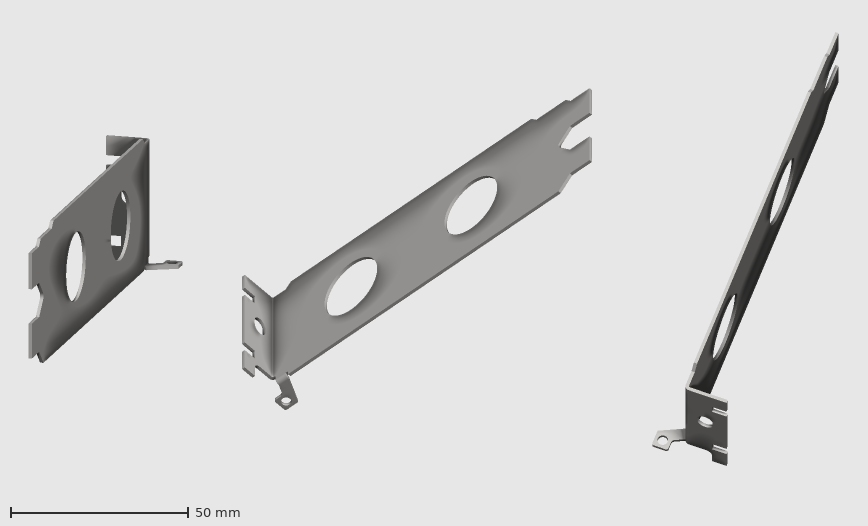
import cadquery as cq


sheet = 1.0
inner_bend = 0.4
outer_bend = inner_bend + sheet

total_length = 124.1
total_width = 21.5
total_height = 41.5
foot_reach = 8.7
flange_reach = total_width - foot_reach
ear_drop = 2.6

plate_height = total_height - ear_drop
plate_end = 121.2
shoulder_drop = 1.9
flange_shoulder_y = 113.4
tongue_shoulder_y = 22.1
tongue_step_y = 9.0
port_diameter = 20.0
port_z = plate_height / 2
port_places = (45.0, 90.6)

prong_length = 7.5
upper_prong_top = plate_height - 2 * shoulder_drop
fork_top = 24.6
fork_bottom = 14.5
fork_root_radius = 1.6
lower_prong_bottom = 4.3

flange_top = plate_height - shoulder_drop
flange_bottom = 3.0
ear_width = 4.3
ear_fillet = 2.0
notch_depth = 4.3
notch_spans = ((28.4, 31.4), (4.8, 8.1))
slot_length = 6.1
slot_width = 4.5
slot_x = -6.3
slot_z = 20.5

foot_near = 115.4
foot_far = 119.1
foot_rise = 4.0
foot_slope = foot_rise / (foot_reach - inner_bend)
eye_diameter = 3.0
head_width = 4.8
head_corner = 0.6
neck_fillet = 1.2

relief_width = 1.0
relief_corner = 0.6


def edge_at(x, y, z):
    """Select the edge whose middle is closest to the given point."""
    return cq.selectors.NearestToPointSelector((x, y, z))


def make_plate():
    """Long plate with stepped edges, a forked free end, two ports and bend reliefs."""
    fork_z = (fork_top + fork_bottom) / 2
    fork_root = prong_length + (fork_top - fork_bottom) / 2
    relief_near = foot_near - relief_width
    outline = [
        (prong_length + lower_prong_bottom, 0),
        (relief_near, 0),
        (relief_near, outer_bend),
        (foot_near, outer_bend),
        (foot_near, 0),
        (foot_far, 0),
        (foot_far, flange_bottom),
        (plate_end, flange_bottom),
        (plate_end, flange_top),
        (flange_shoulder_y + shoulder_drop, flange_top),
        (flange_shoulder_y, plate_height),
        (tongue_shoulder_y, plate_height),
        (tongue_shoulder_y - shoulder_drop, flange_top),
        (tongue_step_y, flange_top),
        (tongue_step_y - shoulder_drop, upper_prong_top),
        (0, upper_prong_top),
        (0, fork_top),
        (prong_length, fork_top),
        (fork_root, fork_z),
        (prong_length, fork_bottom),
        (0, fork_bottom),
        (0, lower_prong_bottom),
        (prong_length, lower_prong_bottom),
    ]
    plate = cq.Workplane("YZ").polyline(outline).close().extrude(-sheet)
    mid_x = -sheet / 2
    plate = plate.edges(edge_at(mid_x, fork_root, fork_z)).fillet(fork_root_radius)
    plate = plate.edges(edge_at(mid_x, relief_near, outer_bend)).fillet(relief_corner)
    plate = plate.edges(edge_at(mid_x, foot_far, flange_bottom)).fillet(relief_corner)
    port_centers = [(y, port_z) for y in port_places]
    ports = cq.Workplane("YZ").pushPoints(port_centers).circle(port_diameter / 2).extrude(-sheet)
    return plate.cut(ports)


def make_flange():
    """End flange with two edge notches, a screw slot and an ear that drops at its free edge."""
    ear_inner = ear_width - flange_reach
    outline = [
        (0, flange_bottom),
        (0, flange_top),
        (-flange_reach, flange_top),
        (-flange_reach, -ear_drop),
        (ear_inner, -ear_drop),
        (ear_inner, flange_bottom),
    ]
    outer_face = cq.Workplane("XZ", origin=(0, plate_end, 0))
    flange = outer_face.polyline(outline).close().extrude(sheet)
    ear_corner = edge_at(ear_inner, plate_end - sheet / 2, flange_bottom)
    flange = flange.edges(ear_corner).fillet(ear_fillet)
    for low, high in notch_spans:
        corner = outer_face.center(-flange_reach, low)
        notch = corner.rect(notch_depth, high - low, centered=False).extrude(sheet)
        flange = flange.cut(notch)
    slot = outer_face.center(slot_x, slot_z).slot2D(slot_length, slot_width, 90).extrude(sheet)
    return flange.cut(slot)


def make_foot():
    """Flat foot tab that slants outward to a square head with a screw eye."""
    neck_x = foot_reach - head_width
    neck_y = foot_far + foot_slope * (neck_x - inner_bend)
    outline = [
        (-sheet, foot_near),
        (inner_bend, foot_near),
        (foot_reach, foot_near + foot_rise),
        (foot_reach, total_length),
        (neck_x, total_length),
        (neck_x, neck_y),
        (inner_bend, foot_far),
        (-sheet, foot_far),
    ]
    foot = cq.Workplane("XY").polyline(outline).close().extrude(sheet)
    foot = foot.edges(edge_at(neck_x, neck_y, sheet / 2)).fillet(neck_fillet)
    for head_x in (neck_x, foot_reach):
        foot = foot.edges(edge_at(head_x, total_length, sheet / 2)).fillet(head_corner)
    eye_x = foot_reach - head_width / 2
    eye_y = total_length - head_width / 2
    eye = cq.Workplane("XY").center(eye_x, eye_y).circle(eye_diameter / 2).extrude(sheet)
    return foot.cut(eye)


def round_bends(bracket):
    """Round the inside and outside of the flange bend and the foot bend."""
    flange_mid_z = (flange_bottom + flange_top) / 2
    bracket = bracket.edges(edge_at(0, plate_end, flange_mid_z)).fillet(outer_bend)
    bracket = bracket.edges(edge_at(-sheet, plate_end - sheet, flange_mid_z)).fillet(inner_bend)
    foot_mid_y = (foot_near + foot_far) / 2
    bracket = bracket.edges(edge_at(-sheet, foot_mid_y, 0)).fillet(outer_bend)
    return bracket.edges(edge_at(0, foot_mid_y, sheet)).fillet(inner_bend)


result = round_bends(make_plate().union(make_flange()).union(make_foot()))